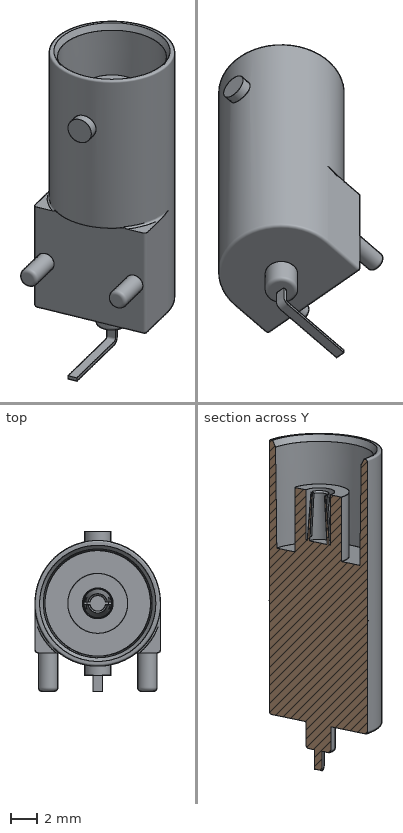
import cadquery as cq


body_width = 9.65
outer_radius = body_width / 2
body_height = 21.85
barrel_length = 12.95
block_height = body_height - barrel_length
block_front = 3.8
body_edge = 0.25
barrel_edge = 0.15

mouth_radius = 4.46
mouth_depth = 0.5
throat_radius = 4.18
floor_radius = 4.05
bore_depth = 8.5

insulator_radius = 2.3
insulator_recess = 3.38
socket_radius = 1.18
socket_depth = 4.0
contact_base_radius = 1.1
contact_tip_radius = 0.74
contact_base_hole_radius = 0.84
contact_tip_hole_radius = 0.6
contact_lead_in = 0.14
contact_recess = 0.1
contact_slot_width = 0.2
contact_slot_end = 0.3

stud_diameter = 2.0
stud_span = 11.05
stud_drop = 4.27

front_reach = 6.765
post_diameter = 1.5
post_pitch = 7.62
post_height = 4.25
post_edge = 0.3

sleeve_diameter = 2.5
sleeve_length = 2.1
sleeve_edge = 0.3
lead_width = 0.76
lead_thickness = 0.3
lead_drop = 1.6
lead_bend_radius = 0.2


def revolve_profile(points):
    """Turn a closed (radius, z) outline about the Z axis."""
    return cq.Workplane("XZ").polyline(points).close().revolve(360, (0, 0, 0), (0, 1, 0))


def make_body():
    """D-shaped lower body: round at the back, square at the front."""
    body = (
        cq.Workplane("XY")
        .moveTo(-outer_radius, -block_front)
        .lineTo(outer_radius, -block_front)
        .lineTo(outer_radius, 0)
        .threePointArc((0, outer_radius), (-outer_radius, 0))
        .close()
        .extrude(block_height)
    )
    return body.edges("|Z and <Y").fillet(body_edge).faces("<Z").edges().fillet(body_edge)


def make_barrel():
    """Round barrel whose lower edge is rounded only where it overhangs the front block."""
    barrel = (
        cq.Workplane("XY", origin=(0, 0, block_height))
        .circle(outer_radius)
        .extrude(barrel_length)
        .edges()
        .fillet(barrel_edge)
    )
    back_half = (
        cq.Workplane("XY", origin=(0, 0, block_height))
        .moveTo(outer_radius, 0)
        .threePointArc((0, outer_radius), (-outer_radius, 0))
        .close()
        .extrude(barrel_length / 2)
    )
    return barrel.union(back_half)


def make_barrel_root():
    """Concave fillet where the front of the barrel meets the top of the block."""
    root_top = block_height + barrel_edge
    ring = (
        cq.Workplane("XZ")
        .moveTo(outer_radius - barrel_edge, block_height)
        .lineTo(outer_radius + barrel_edge, block_height)
        .radiusArc((outer_radius, root_top), barrel_edge)
        .lineTo(outer_radius - barrel_edge, root_top)
        .close()
        .revolve(360, (0, 0, 0), (0, 1, 0))
    )
    block_top = (
        cq.Workplane("XY", origin=(0, -block_front / 2, block_height))
        .rect(body_width, block_front)
        .extrude(barrel_edge)
    )
    return ring.intersect(block_top)


def make_bore():
    """Mating cavity: a conical mouth, then a slight taper down to the floor."""
    return revolve_profile([
        (0, body_height),
        (mouth_radius, body_height),
        (throat_radius, body_height - mouth_depth),
        (floor_radius, body_height - bore_depth),
        (0, body_height - bore_depth),
    ])


def make_insulator():
    """Insulator post standing on the bore floor, with a blind socket for the contact."""
    floor = body_height - bore_depth
    top = body_height - insulator_recess
    return (
        cq.Workplane("XY", origin=(0, 0, floor))
        .circle(insulator_radius)
        .extrude(top - floor)
        .faces(">Z")
        .workplane()
        .hole(2 * socket_radius, socket_depth)
    )


def make_contact():
    """Tapered tubular contact in the socket, slit along X by a round-ended slot into two fingers."""
    socket_top = body_height - insulator_recess
    bottom = socket_top - socket_depth
    tip = socket_top - contact_recess
    tube = revolve_profile([
        (contact_base_hole_radius, bottom),
        (contact_base_radius, bottom),
        (contact_tip_radius, tip),
        (contact_tip_hole_radius, tip - contact_lead_in),
    ])
    half_width = contact_slot_width / 2
    slot_end = bottom + contact_slot_end
    slot = (
        cq.Workplane("YZ")
        .moveTo(-half_width, socket_top)
        .lineTo(-half_width, slot_end + half_width)
        .threePointArc((0, slot_end), (half_width, slot_end + half_width))
        .lineTo(half_width, socket_top)
        .close()
        .extrude(socket_radius, both=True)
    )
    return tube.cut(slot)


def make_studs():
    """Pair of bayonet studs on one cross bar along Y."""
    return (
        cq.Workplane("XZ", origin=(0, 0, body_height - stud_drop))
        .circle(stud_diameter / 2)
        .extrude(stud_span / 2, both=True)
    )


def make_posts():
    """Two board posts with rounded tips on the front face of the block."""
    return (
        cq.Workplane("XZ", origin=(0, -block_front, post_height))
        .pushPoints([(-post_pitch / 2, 0), (post_pitch / 2, 0)])
        .circle(post_diameter / 2)
        .extrude(front_reach - block_front)
        .faces("<Y")
        .edges()
        .fillet(post_edge)
    )


def make_sleeve():
    """Insulator sleeve below the body, rounded at its lower edge."""
    return (
        cq.Workplane("XY")
        .circle(sleeve_diameter / 2)
        .extrude(-sleeve_length)
        .faces("<Z")
        .edges()
        .fillet(sleeve_edge)
    )


def make_lead():
    """Flat solder lead that leaves the sleeve downward and bends toward -Y."""
    half = lead_thickness / 2
    top = -sleeve_length
    bottom = top - lead_drop
    outer_bend = lead_bend_radius + lead_thickness
    return (
        cq.Workplane("YZ")
        .moveTo(half, top)
        .lineTo(half, bottom + outer_bend)
        .radiusArc((half - outer_bend, bottom), outer_bend)
        .lineTo(-front_reach, bottom)
        .lineTo(-front_reach, bottom + lead_thickness)
        .lineTo(-half - lead_bend_radius, bottom + lead_thickness)
        .radiusArc((-half, bottom + outer_bend), -lead_bend_radius)
        .lineTo(-half, top)
        .close()
        .extrude(lead_width / 2, both=True)
    )


shell = (
    make_body()
    .union(make_barrel())
    .union(make_barrel_root())
    .union(make_studs())
    .cut(make_bore())
)
result = (
    shell.union(make_insulator())
    .union(make_contact())
    .union(make_posts())
    .union(make_sleeve())
    .union(make_lead())
)